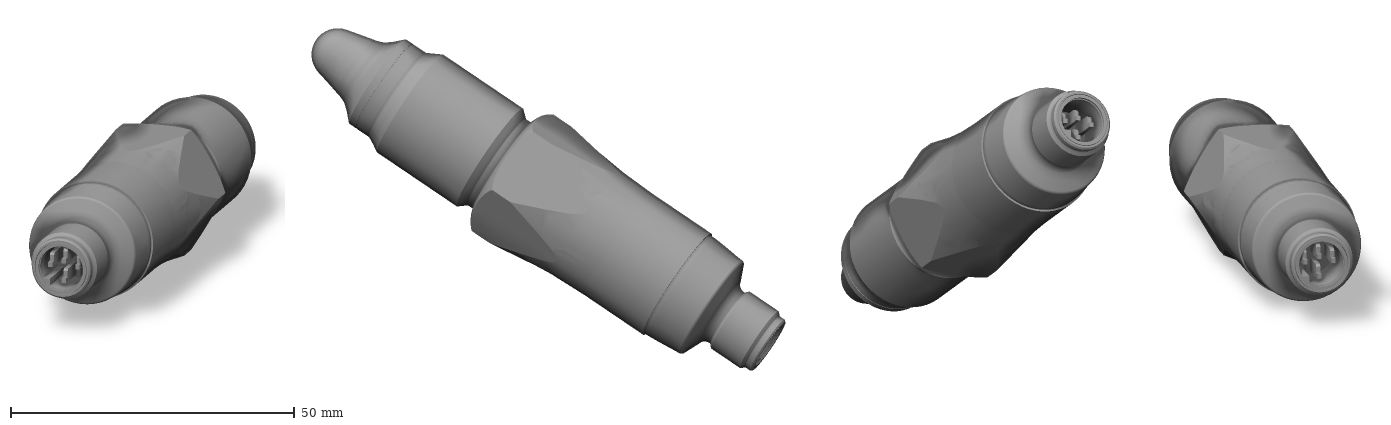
import cadquery as cq
import math


tip_end_y = 97.1
nose_radius = 4.7
nose_cone_angle = 14.0
flare_start_y = 88.8
collar_radius = 18.0 / 2
collar_front_y = 83.9
shoulder_run = 1.65
joint_gap_front_y = 82.5
joint_gap_width = 0.3
joint_gap_radius = 17.8 / 2
joint_y = joint_gap_front_y - joint_gap_width

seal_cone_front_y = 79.6
seal_cone_rear_y = 76.9
shank_radius = 20.9 / 2
shank_rear_y = 59.8
undercut_radius = 18.4 / 2
undercut_front_y = 58.4
undercut_rear_y = 57.5
undercut_fillet = 0.5

hex_across_flats = 22.0
hex_corner_radius = hex_across_flats / math.sqrt(3)
hex_round_mid_radius = 11.9
hex_round_mid_y = 55.7
hex_corner_front_y = 55.0
hex_corner_rear_y = 51.1
grip_radius = 10.8
grip_front_y = 32.2
grip_rear_y = 19.6

cap_radius = 20.9 / 2
cap_taper_y = 18.7
cap_mid_radius = 10.2
cap_mid_y = 15.6
cap_edge_radius = 9.9
cap_edge_y = 12.6
cap_cone_radius = 9.5
cap_cone_y = 11.9
neck_flare_radius = 6.7
neck_flare_y = 10.7

neck_radius = 10.9 / 2
neck_flare_end_y = 9.0
thread_radius = 12.1 / 2
thread_chamfer = thread_radius - neck_radius
thread_rear_y = 8.3
thread_front_y = 2.0
lip_chamfer = 0.3

socket_radius = 8.0 / 2
socket_depth = 8.7
mouth_radius = 8.3 / 2
mouth_depth = 0.5
rim_groove_outer_radius = 9.6 / 2
rim_groove_inner_radius = 9.4 / 2
rim_groove_depth = 1.0
platform_height = 1.0
platform_bottom_z = -1.3
notch_bottom_z = 2.4
notch_width = 0.9
stem_width = 2.3
stem_bottom_z = -3.4

key_corner = -2.1
key_front_y = 0.3

blade_width = 0.8
blade_height = 2.3
blade_length = 7.0
blade_long_height = 0.9
blade_setback = 1.0
blade_tip_chamfer = 0.4
blade_places = [(0, 1.65), (0, -1.9), (-2.5, 0.8), (2.5, 0.8)]


def revolve(profile):
    return profile.close().revolve(360, (0, 0, 0), (0, 1, 0))


def make_tip():
    cone = math.radians(nose_cone_angle)
    nose_center_y = tip_end_y - nose_radius
    tangent_radius = nose_radius * math.cos(cone)
    tangent_y = nose_center_y + nose_radius * math.sin(cone)
    flare_start_radius = tangent_radius + (tangent_y - flare_start_y) * math.tan(cone)
    dome_mid = (math.pi / 2 + cone) / 2
    return revolve(
        cq.Workplane("XY")
        .moveTo(0, joint_y)
        .lineTo(joint_gap_radius, joint_y)
        .lineTo(joint_gap_radius, joint_gap_front_y)
        .lineTo(collar_radius, joint_gap_front_y)
        .lineTo(collar_radius, collar_front_y)
        .lineTo(collar_radius - shoulder_run, collar_front_y + shoulder_run)
        .tangentArcPoint((flare_start_radius, flare_start_y), relative=False)
        .lineTo(tangent_radius, tangent_y)
        .threePointArc(
            (nose_radius * math.cos(dome_mid), nose_center_y + nose_radius * math.sin(dome_mid)),
            (0, tip_end_y),
        )
    )


def make_shank():
    return revolve(
        cq.Workplane("XY")
        .moveTo(0, joint_y)
        .lineTo(collar_radius, joint_y)
        .lineTo(collar_radius, seal_cone_front_y)
        .lineTo(shank_radius, seal_cone_rear_y)
        .lineTo(shank_radius, shank_rear_y)
        .lineTo(undercut_radius, undercut_front_y)
        .lineTo(undercut_radius, undercut_rear_y)
        .lineTo(0, undercut_rear_y)
    )


def make_grip():
    """Hexagon rounded at its front and fading into the round grip through a long arc."""
    round_start_radius = undercut_radius + undercut_fillet
    round_start_y = undercut_rear_y - undercut_fillet
    envelope = revolve(
        cq.Workplane("XY")
        .moveTo(0, grip_rear_y)
        .lineTo(grip_radius, grip_rear_y)
        .lineTo(grip_radius, grip_front_y)
        .tangentArcPoint((hex_corner_radius, hex_corner_rear_y), relative=False)
        .lineTo(hex_corner_radius, hex_corner_front_y)
        .threePointArc((hex_round_mid_radius, hex_round_mid_y), (round_start_radius, round_start_y))
        .radiusArc((undercut_radius, undercut_rear_y), undercut_fillet)
        .lineTo(0, undercut_rear_y)
    )
    hexagon = (
        cq.Workplane("XZ", origin=(0, grip_rear_y, 0))
        .polygon(6, 2 * hex_corner_radius)
        .extrude(grip_rear_y - undercut_rear_y)
    )
    return envelope.intersect(hexagon)


def make_rear():
    return revolve(
        cq.Workplane("XY")
        .lineTo(neck_radius - lip_chamfer, 0)
        .lineTo(neck_radius, lip_chamfer)
        .lineTo(neck_radius, thread_front_y - thread_chamfer)
        .lineTo(thread_radius, thread_front_y)
        .lineTo(thread_radius, thread_rear_y)
        .lineTo(neck_radius, thread_rear_y + thread_chamfer)
        .lineTo(neck_radius, neck_flare_end_y)
        .tangentArcPoint((neck_flare_radius, neck_flare_y), relative=False)
        .lineTo(cap_cone_radius, cap_cone_y)
        .tangentArcPoint((cap_edge_radius, cap_edge_y), relative=False)
        .threePointArc((cap_mid_radius, cap_mid_y), (cap_radius, cap_taper_y))
        .lineTo(cap_radius, grip_rear_y)
        .lineTo(0, grip_rear_y)
    )


def cylinder(radius, start_y, end_y):
    return cq.Workplane("XZ", origin=(0, start_y, 0)).circle(radius).extrude(start_y - end_y)


def box(left_x, right_x, bottom_z, top_z, start_y, end_y):
    size = (right_x - left_x, end_y - start_y, top_z - bottom_z)
    return cq.Workplane("XY", origin=(left_x, start_y, bottom_z)).box(*size, centered=False)


def make_platform():
    floor = (socket_depth - platform_height, socket_depth)
    platform = box(-socket_radius, socket_radius, platform_bottom_z, socket_radius, *floor)
    platform = platform.union(
        box(-stem_width / 2, stem_width / 2, stem_bottom_z, platform_bottom_z, *floor)
    )
    for left_x in (-stem_width / 2 - notch_width, stem_width / 2):
        platform = platform.cut(
            box(left_x, left_x + notch_width, notch_bottom_z, socket_radius, *floor)
        )
    return platform


def make_key():
    return box(-socket_radius, key_corner, -socket_radius, key_corner, key_front_y, socket_depth)


def make_socket():
    """Space to remove: the stepped bore around platform and key, and the groove in the rim."""
    bore = cylinder(socket_radius, 0, socket_depth).cut(make_platform()).cut(make_key())
    mouth = cylinder(mouth_radius, 0, mouth_depth).cut(make_key())
    groove = cylinder(rim_groove_outer_radius, 0, rim_groove_depth).cut(
        cylinder(rim_groove_inner_radius, 0, rim_groove_depth)
    )
    return bore.union(mouth).union(groove)


def make_blade(middle_x, middle_z):
    sides = (middle_x - blade_width / 2, middle_x + blade_width / 2)
    bottom_z = middle_z - blade_height / 2
    tip_y = socket_depth - blade_length
    upper = box(*sides, bottom_z, bottom_z + blade_height, tip_y + blade_setback, socket_depth)
    upper = upper.faces(">Z").edges("<Y").chamfer(blade_tip_chamfer)
    return upper.union(box(*sides, bottom_z, bottom_z + blade_long_height, tip_y, socket_depth))


tip = make_tip()

housing = make_shank().union(make_grip()).union(make_rear()).cut(make_socket())
for blade_x, blade_z in blade_places:
    housing = housing.union(make_blade(blade_x, blade_z))

result = cq.Compound.makeCompound([tip.val(), housing.val()])